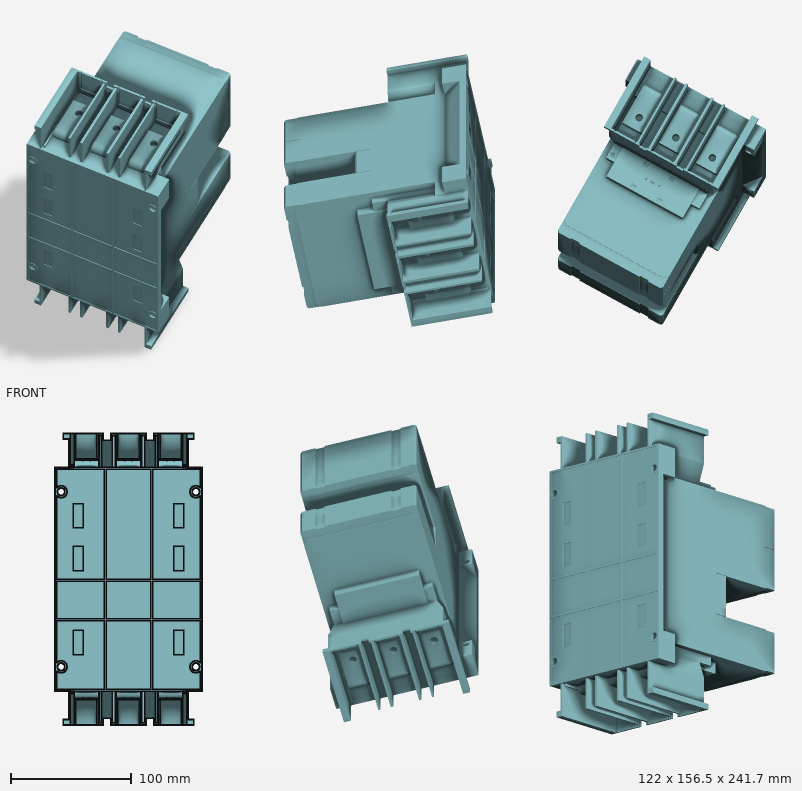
import cadquery as cq


BASE_WIDTH = 122.0
BASE_HEIGHT = 185.5
BASE_DEPTH = 20.3
BASE_TOP = BASE_HEIGHT / 2
SHOULDER_DEPTH = 28.5

RIM = 1.7
PANEL_DEPTH = 0.5
RIB_X = 19.0
RIB_ZS = (-1.0, -33.5)

SCREW_X = 55.8
SCREW_Z = 72.5
SCREW_HOLE = 6.0
SCREW_BOSS = 10.0

POCKET_X = 41.5
POCKET_ZS = (52.7, 17.2, -52.5)
POCKET_WIDTH = 8.5
POCKET_HEIGHT = 20.0

SIDE_RECESS_START = 5.5
SIDE_RECESS_HALF_HEIGHT = 67.7

BODY_WIDTH = 99.5
BODY_HALF = BODY_WIDTH / 2
BODY_DEPTH = 156.5
HEAD_TOP = 71.5
HEAD_BOTTOM = -69.9
MOUTH_TOP = 1.7
MOUTH_BOTTOM = -35.0
MOUTH_DEPTH = 96.7
EDGE_CHAMFER = 1.7

PANEL_THICKNESS = 0.7
PANEL_END = 147.7
PANEL_CORNER = 3.1

SEAM = 0.7
SEAM_LENGTH = 13.8
SEAM_DEPTH = 0.5
UPPER_HEAD_SEAM_Z = 36.3

NOTCH_X = 32.6
NOTCH_WIDTH = 8.0
NOTCH_DEPTH = 1.0

PLUNGER_DIAMETER = 11.4
PLUNGER_Z = (MOUTH_TOP + MOUTH_BOTTOM) / 2
PLUNGER_END = 107.8

COVER_HALF = 44.2
COVER_END = 83.0
COVER_TOP = 78.0
CENTER_COVER_HALF = 36.3
CENTER_COVER_END = 97.0
CENTER_COVER_TOP = 80.2

CLIP_SLOT = (4.5, 3.5)
CLIP_SLOT_X = 12.3
CLIP_SLOT_YS = (93.8, 72.8)
WINDOW_Y = 83.1
WINDOW_HEIGHT = 2.0
WINDOWS = ((0, 4.4), (-6.0, 1.7), (6.0, 1.7))
SLOT_DEPTH = 1.0
COVER_SCREW_X = 41.0
COVER_SCREW_Y = 78.5
COVER_SCREW_HEAD = 5.3
COVER_SCREW_HOLE = 3.0

OVERALL_HEIGHT = 241.7
TERMINAL_TOP = OVERALL_HEIGHT / 2
TERMINAL_START = 0.7
TERMINAL_END = 69.0
SHOULDER_GAP = 0.7
WALL_HALF = 49.3
OUTER_WALL = 1.2
LIP_HALF = 54.1
LIP_HEIGHT = 4.8
BACK_WALL = 1.7
WALL_FRONT = TERMINAL_END - BACK_WALL
TRENCH_DEPTH = 1.57
PANEL_BEVEL = 1.5
PHASE_PITCH = 34.8
PHASE_XS = (-PHASE_PITCH, 0, PHASE_PITCH)
BAR_WIDTH = 20.3
BAR_START = 16.2
BAR_END = 54.5
BAR_HEIGHT = 5.8
BAR_ROUND = 5.0
BAR_HOLE = 6.3
BAR_HOLE_Y = 44.0
DIVIDER_START = 3.5
DIVIDER_TOP = 119.0
OUTER_DIVIDER = (22.2, 24.0)
INNER_DIVIDER = (11.0, 13.3)
WEB_TOP = 115.3
WEB_GAP = (14.5, 21.0)
TRENCH_INNER = 45.7
LOW_RIB = (45.7, 47.1)
LOW_RIB_HEIGHT = 2.2


def block(x, y, z):
    """Box spanning the (low, high) pairs x, y and z."""
    size = (x[1] - x[0], y[1] - y[0], z[1] - z[0])
    return cq.Workplane("XY").box(*size, centered=False).translate((x[0], y[0], z[0]))


def centered_block(half_width, y, z):
    return block((-half_width, half_width), y, z)


def cylinder_y(diameter, x, z, start, end):
    return cq.Workplane("XZ", origin=(x, start, z)).circle(diameter / 2).extrude(start - end)


def cylinder_z(diameter, x, y, low, high):
    return cq.Workplane("XY", origin=(x, y, low)).circle(diameter / 2).extrude(high - low)


def with_mirror(solid, plane):
    return solid.union(solid.mirror(plane))


def rear_panels():
    """Shallow recesses between the rim and ribs of the mounting face."""
    x_edges = (-BASE_WIDTH / 2 + RIM / 2, -RIB_X, RIB_X, BASE_WIDTH / 2 - RIM / 2)
    z_edges = (-BASE_TOP + RIM / 2, *sorted(RIB_ZS), BASE_TOP - RIM / 2)
    panels = cq.Workplane("XY")
    for left, right in zip(x_edges, x_edges[1:]):
        for low, high in zip(z_edges, z_edges[1:]):
            x = (left + RIM / 2, right - RIM / 2)
            z = (low + RIM / 2, high - RIM / 2)
            panels = panels.union(block(x, (0, PANEL_DEPTH), z))
    return panels


def mounting_base():
    base = centered_block(BASE_WIDTH / 2, (0, BASE_DEPTH), (-BASE_TOP, BASE_TOP))
    base = base.cut(rear_panels())
    for z in POCKET_ZS:
        x = (POCKET_X - POCKET_WIDTH / 2, POCKET_X + POCKET_WIDTH / 2)
        z_span = (z - POCKET_HEIGHT / 2, z + POCKET_HEIGHT / 2)
        base = base.cut(with_mirror(block(x, (0, 2 * PANEL_DEPTH), z_span), "YZ"))

    for x in (-SCREW_X, SCREW_X):
        for z in (-SCREW_Z, SCREW_Z):
            base = base.union(cylinder_y(SCREW_BOSS, x, z, 0, BASE_DEPTH))
            base = base.cut(cylinder_y(SCREW_HOLE, x, z, 0, BASE_DEPTH))

    wedge = (
        cq.Workplane("XY", origin=(0, 0, -SIDE_RECESS_HALF_HEIGHT))
        .moveTo(BASE_WIDTH / 2, SIDE_RECESS_START)
        .lineTo(BASE_WIDTH / 2, BASE_DEPTH)
        .lineTo(BODY_HALF, BASE_DEPTH)
        .close()
        .extrude(2 * SIDE_RECESS_HALF_HEIGHT)
    )
    base = base.cut(with_mirror(wedge, "YZ"))
    shoulder = centered_block(BODY_HALF, (BASE_DEPTH, SHOULDER_DEPTH), (-BASE_TOP, BASE_TOP))
    return base.union(shoulder)


def head(end, low, high):
    """Housing block reaching y = end, with chamfered front side edges."""
    solid = centered_block(BODY_HALF, (BASE_DEPTH, end), (low, high))
    return solid.edges("|Z and >Y").chamfer(EDGE_CHAMFER)


def raised_panel(low):
    """Thin plate over a head face, with its two free corners cut off."""
    plate = centered_block(BODY_HALF, (SHOULDER_DEPTH, PANEL_END), (low, low + PANEL_THICKNESS))
    return plate.edges("|Z and >Y").chamfer(PANEL_CORNER)


def seam(z, end):
    """Groove in both side walls running back from the face at y = end."""
    z_span = (z - SEAM / 2, z + SEAM / 2)
    groove = block((BODY_HALF - SEAM_DEPTH, BODY_HALF), (end - SEAM_LENGTH, end), z_span)
    return with_mirror(groove, "YZ")


def housing():
    body = head(MOUTH_DEPTH, HEAD_BOTTOM, HEAD_TOP)
    body = body.union(head(BODY_DEPTH, MOUTH_TOP, HEAD_TOP))
    body = body.union(head(BODY_DEPTH, HEAD_BOTTOM, MOUTH_BOTTOM))
    for low in (HEAD_TOP, MOUTH_TOP - PANEL_THICKNESS, MOUTH_BOTTOM, HEAD_BOTTOM - PANEL_THICKNESS):
        body = body.union(raised_panel(low))
    body = body.cut(seam(UPPER_HEAD_SEAM_Z, BODY_DEPTH))
    for z in (MOUTH_TOP - PANEL_THICKNESS, MOUTH_BOTTOM + PANEL_THICKNESS):
        body = body.cut(seam(z, MOUTH_DEPTH))

    x = (NOTCH_X - NOTCH_WIDTH / 2, NOTCH_X + NOTCH_WIDTH / 2)
    notch = block(x, (BODY_DEPTH - NOTCH_DEPTH, BODY_DEPTH), (HEAD_BOTTOM, HEAD_TOP))
    body = body.cut(with_mirror(notch, "YZ"))
    return body.union(cylinder_y(PLUNGER_DIAMETER, 0, PLUNGER_Z, MOUTH_DEPTH, PLUNGER_END))


def chamber_covers():
    side_cover = centered_block(COVER_HALF, (BASE_DEPTH, COVER_END), (-COVER_TOP, COVER_TOP))
    center_cover = centered_block(
        CENTER_COVER_HALF, (BASE_DEPTH, CENTER_COVER_END), (-CENTER_COVER_TOP, CENTER_COVER_TOP)
    )
    inside = centered_block(BODY_HALF, (BASE_DEPTH, CENTER_COVER_END), (HEAD_BOTTOM, HEAD_TOP))
    return side_cover.union(center_cover).cut(inside)


def cover_details():
    """Clip slots, windows and a screw recess on the +Z covers."""
    top = (CENTER_COVER_TOP - SLOT_DEPTH, CENTER_COVER_TOP)

    def slot(x, y, width, height):
        x_span = (x - width / 2, x + width / 2)
        return block(x_span, (y - height / 2, y + height / 2), top)

    cuts = cq.Workplane("XY")
    for y in CLIP_SLOT_YS:
        for x in (-CLIP_SLOT_X, CLIP_SLOT_X):
            cuts = cuts.union(slot(x, y, *CLIP_SLOT))
    for x, width in WINDOWS:
        cuts = cuts.union(slot(x, WINDOW_Y, width, WINDOW_HEIGHT))
    for diameter, depth in ((COVER_SCREW_HEAD, SLOT_DEPTH), (COVER_SCREW_HOLE, 2 * SLOT_DEPTH)):
        hole = cylinder_z(diameter, COVER_SCREW_X, COVER_SCREW_Y, COVER_TOP - depth, COVER_TOP)
        cuts = cuts.union(hole)
    return cuts


def contact_bar(x):
    """Terminal bar with a rounded leading edge and a screw hole."""
    x_span = (x - BAR_WIDTH / 2, x + BAR_WIDTH / 2)
    bar = block(x_span, (BAR_START, BAR_END), (BASE_TOP, BASE_TOP + BAR_HEIGHT))
    bar = bar.edges("|X and <Y and >Z").fillet(BAR_ROUND)
    hole = cylinder_z(BAR_HOLE, x, BAR_HOLE_Y, BASE_TOP, BASE_TOP + BAR_HEIGHT)
    return bar.cut(hole)


def back_wall():
    """Wall behind the terminals, notched between the phases, with a bevelled panel per phase."""
    y = (WALL_FRONT, TERMINAL_END)
    wall = centered_block(WALL_HALF, y, (BASE_TOP, TERMINAL_TOP))
    notch = block(WEB_GAP, y, (WEB_TOP, TERMINAL_TOP))
    wall = wall.cut(with_mirror(notch, "YZ"))

    for x in PHASE_XS:
        half = BAR_WIDTH / 2
        foot = BASE_TOP + BAR_HEIGHT
        x_span = (x - half, x + half)
        recess = block(x_span, (WALL_FRONT, WALL_FRONT + TRENCH_DEPTH), (foot, TERMINAL_TOP))
        panel = recess.faces("<Y").edges("|Z or <Z").chamfer(PANEL_BEVEL)
        wall = wall.cut(recess).union(panel)
    return wall


def terminal_block():
    """Upper terminal block; the lower one is its mirror image."""
    block_start = SHOULDER_DEPTH + SHOULDER_GAP
    solid = (
        cq.Workplane("XZ", origin=(0, TERMINAL_END, 0))
        .polyline([
            (-COVER_HALF, COVER_TOP),
            (-WALL_HALF, BASE_TOP),
            (WALL_HALF, BASE_TOP),
            (COVER_HALF, COVER_TOP),
        ])
        .close()
        .extrude(TERMINAL_END - block_start)
    )
    solid = solid.union(back_wall())

    trench_width = WALL_HALF - OUTER_WALL - TRENCH_INNER
    trench_depth = trench_width * (BASE_TOP - COVER_TOP) / (WALL_HALF - COVER_HALF)
    trench = (
        cq.Workplane("XZ", origin=(0, WALL_FRONT, 0))
        .moveTo(TRENCH_INNER + trench_width, BASE_TOP)
        .lineTo(TRENCH_INNER, BASE_TOP)
        .lineTo(TRENCH_INNER, BASE_TOP - trench_depth)
        .close()
        .extrude(WALL_FRONT - block_start)
    )
    solid = solid.cut(with_mirror(trench, "YZ"))

    full_y = (TERMINAL_START, TERMINAL_END)
    outer = block((WALL_HALF - OUTER_WALL, WALL_HALF), full_y, (BASE_TOP, TERMINAL_TOP))
    outer = outer.union(
        block((WALL_HALF - OUTER_WALL, LIP_HALF), full_y, (TERMINAL_TOP - LIP_HEIGHT, TERMINAL_TOP))
    )
    low_rib = block(
        LOW_RIB, (DIVIDER_START, SHOULDER_DEPTH), (BASE_TOP, BASE_TOP + LOW_RIB_HEIGHT)
    )
    walls = outer.union(low_rib)

    for x in (INNER_DIVIDER, OUTER_DIVIDER):
        walls = walls.union(block(x, (DIVIDER_START, WALL_FRONT), (BASE_TOP, DIVIDER_TOP)))
    solid = solid.union(with_mirror(walls, "YZ"))

    for x in PHASE_XS:
        solid = solid.union(contact_bar(x))
    return solid


result = (
    mounting_base()
    .union(housing())
    .union(chamber_covers())
    .cut(cover_details())
    .union(with_mirror(terminal_block(), "XY"))
)